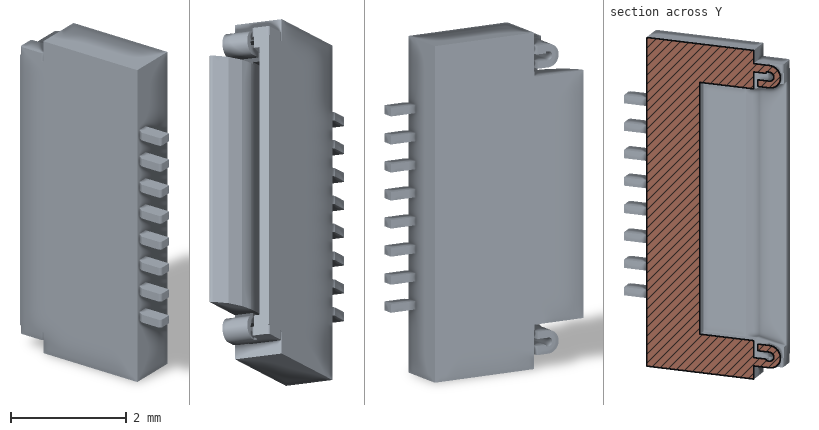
import cadquery as cq


LENGTH = 6.0
DEPTH = 0.9
FACE_X = 1.0
BACK_X = 3.0

LIP_X = 0.5
LIP_HEIGHT = 0.288
RAMP_FOOT_X = 0.76
RAMP_STEP_X = 0.79
RAMP_STEP_Y = 0.32
RAMP_TOP_Y = 0.43

SLOT_FLOOR_Y = 0.30
SLOT_ROOF_Y = 0.55
SLOT_HALF_LENGTH = 2.29
SLOT_END_X = 2.0
MOUTH_FLOOR_Y = 0.18
MOUTH_KINK_X = 1.06
MOUTH_KINK_Y = 0.217
MOUTH_END_X = 1.2
MOUTH_HALF_LENGTH = 2.40

TONGUE_HALF_LENGTH = 2.21
TONGUE_TIP_Y = 0.846
TONGUE_KNEE_X = 0.21
TONGUE_KNEE_Y = 0.64
TONGUE_BEND_X = 0.49
TONGUE_BEND_Y = 0.515
TONGUE_FLAT_X = 0.75
TONGUE_FLAT_Y = 0.47
SHOULDER_X = 0.985
SHOULDER_HALF_LENGTH = 2.30

TAB_THICKNESS = 0.16
TAB_OUTER_Z = LENGTH / 2 - 0.24
TAB_INNER_Z = TAB_OUTER_Z - TAB_THICKNESS
TAB_TOP_Y = 0.34
TAB_CORNER_RADIUS = 0.045
GAP_TOP_Y = 0.418
GAP_END_X = 0.76
GAP_CORNER_RADIUS = 0.04
NECK_TOP_Y = 0.62
NECK_X = 0.963
NECK_STRAIGHT_TOP_Y = 0.80
NECK_END_X = 0.93
ROLL_THICKNESS = 0.13
ROLL_OUTER_RADIUS = 0.208
ROLL_INNER_RADIUS = ROLL_OUTER_RADIUS - ROLL_THICKNESS
ROLL_AXIS_X = LIP_X + ROLL_OUTER_RADIUS
ROLL_AXIS_Z = TAB_OUTER_Z - ROLL_OUTER_RADIUS

PIN_COUNT = 8
PIN_PITCH = 0.5
PIN_WIDTH = 0.15
PIN_HEIGHT = 0.25
PIN_END_X = 3.5
PIN_HEEL_LENGTH = 0.09
PIN_HEEL_HEIGHT = 0.06
PIN_TOE_RADIUS = 0.05


def box(x_start, x_end, y_start, y_end, z_start, z_end):
    """Box between two corners."""
    size = (x_end - x_start, y_end - y_start, z_end - z_start)
    return cq.Workplane("XY").box(*size, centered=False).translate((x_start, y_start, z_start))


def prism(points, half_length):
    """XY outline extruded equally to both sides of the part's middle."""
    return cq.Workplane("XY").polyline(points).close().extrude(half_length, both=True)


def make_housing():
    """Main block with the floor plate and the ramps that rise from it to the block."""
    block = box(FACE_X, BACK_X, 0, DEPTH, -LENGTH / 2, LENGTH / 2)
    plate_outline = [
        (LIP_X, 0),
        (FACE_X, 0),
        (FACE_X, RAMP_TOP_Y),
        (RAMP_STEP_X, RAMP_STEP_Y),
        (RAMP_FOOT_X, LIP_HEIGHT),
        (LIP_X, LIP_HEIGHT),
    ]
    return block.union(prism(plate_outline, TAB_INNER_Z))


def make_cable_slot():
    """Straight slot inside the block, opened out by flared ends and a floor that drops toward the front."""
    slot = box(FACE_X, SLOT_END_X, SLOT_FLOOR_Y, SLOT_ROOF_Y, -SLOT_HALF_LENGTH, SLOT_HALF_LENGTH)
    floor_outline = [
        (LIP_X, MOUTH_FLOOR_Y),
        (FACE_X, MOUTH_FLOOR_Y),
        (MOUTH_KINK_X, MOUTH_KINK_Y),
        (MOUTH_END_X, SLOT_FLOOR_Y),
        (MOUTH_END_X, SLOT_ROOF_Y),
        (LIP_X, SLOT_ROOF_Y),
    ]
    flare_outline = [
        (LIP_X, MOUTH_HALF_LENGTH),
        (FACE_X, SLOT_HALF_LENGTH),
        (MOUTH_END_X, SLOT_HALF_LENGTH),
        (MOUTH_END_X, -SLOT_HALF_LENGTH),
        (FACE_X, -SLOT_HALF_LENGTH),
        (LIP_X, -MOUTH_HALF_LENGTH),
    ]
    flare = cq.Workplane("XZ").polyline(flare_outline).close().extrude(-DEPTH)
    mouth = prism(floor_outline, MOUTH_HALF_LENGTH).intersect(flare)
    return slot.union(mouth)


def make_actuator():
    """Tongue overhanging the slot, with a wider shoulder where it meets the block."""
    tongue_outline = [
        (0, DEPTH),
        (0, TONGUE_TIP_Y),
        (TONGUE_KNEE_X, TONGUE_KNEE_Y),
        (TONGUE_BEND_X, TONGUE_BEND_Y),
        (TONGUE_FLAT_X, TONGUE_FLAT_Y),
        (SLOT_END_X, TONGUE_FLAT_Y),
        (SLOT_END_X, DEPTH),
    ]
    tongue = prism(tongue_outline, TONGUE_HALF_LENGTH)
    shoulder = box(SHOULDER_X, FACE_X, SLOT_ROOF_Y, DEPTH, -SHOULDER_HALF_LENGTH, SHOULDER_HALF_LENGTH)
    return tongue.union(shoulder)


def make_tab():
    """Flat metal tab at the +Z end, with a U-shaped roll above its gap."""
    base = box(LIP_X, FACE_X, 0, TAB_TOP_Y, TAB_INNER_Z, TAB_OUTER_Z)
    base = base.edges("|Z").edges("<Y or (<X and >Y)").fillet(TAB_CORNER_RADIUS)

    neck_outline = [
        (GAP_END_X, TAB_CORNER_RADIUS),
        (FACE_X, TAB_CORNER_RADIUS),
        (FACE_X, NECK_TOP_Y),
        (NECK_X, NECK_TOP_Y),
        (NECK_X, NECK_STRAIGHT_TOP_Y),
        (NECK_END_X, DEPTH),
        (GAP_END_X, DEPTH),
    ]
    inner_face = cq.Workplane("XY", origin=(0, 0, TAB_INNER_Z))
    neck = inner_face.polyline(neck_outline).close().extrude(TAB_THICKNESS)

    def bar(radius):
        """Round-nosed bar along Y, running back from the roll axis."""
        outline = (
            cq.Workplane("XZ", origin=(0, GAP_TOP_Y, 0))
            .moveTo(NECK_END_X, ROLL_AXIS_Z + radius)
            .lineTo(ROLL_AXIS_X, ROLL_AXIS_Z + radius)
            .threePointArc((ROLL_AXIS_X - radius, ROLL_AXIS_Z), (ROLL_AXIS_X, ROLL_AXIS_Z - radius))
            .lineTo(NECK_END_X, ROLL_AXIS_Z - radius)
            .close()
        )
        return outline.extrude(GAP_TOP_Y - DEPTH)

    roll = bar(ROLL_OUTER_RADIUS).cut(bar(ROLL_INNER_RADIUS))
    plate = base.union(neck)
    gap_corner = (GAP_END_X, TAB_TOP_Y, (TAB_INNER_Z + TAB_OUTER_Z) / 2)
    plate = plate.edges(cq.selectors.NearestToPointSelector(gap_corner)).fillet(GAP_CORNER_RADIUS)
    return plate.union(roll)


def make_pin(z_centre):
    """Solder pin with a bevelled heel next to the block and a rounded toe."""
    outline = [
        (BACK_X, PIN_HEEL_HEIGHT),
        (BACK_X + PIN_HEEL_LENGTH, 0),
        (PIN_END_X, 0),
        (PIN_END_X, PIN_HEIGHT),
        (BACK_X, PIN_HEIGHT),
    ]
    pin = prism(outline, PIN_WIDTH / 2)
    pin = pin.edges("|Z").edges(">X and <Y").fillet(PIN_TOE_RADIUS)
    return pin.translate((0, 0, z_centre))


result = make_housing().cut(make_cable_slot()).union(make_actuator())

upper_tab = make_tab()
result = result.union(upper_tab).union(upper_tab.mirror("XY"))

for index in range(PIN_COUNT):
    result = result.union(make_pin((index - (PIN_COUNT - 1) / 2) * PIN_PITCH))